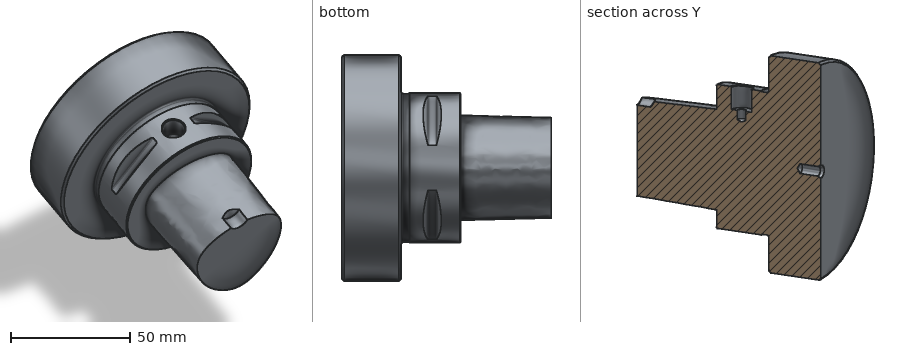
import cadquery as cq
import math


disc_diameter = 95.0
disc_length = 25.0
disc_chamfer = 1.0

neck_diameter = 62.4
neck_end = 28.05
neck_fillet = 0.9
runout_radius = 0.5
runout_angle = 45.0

flange_diameter = 63.0
flange_end = 50.0
flange_chamfer = 0.5

shank_length = 38.0
shank_base_radius = 22.05
shank_taper = 1 / 20
lobe_height = 1.4
lobe_count = 3
lobe_direction = -90.0
points_per_lobe = 12

groove_position = 38.0
groove_floor_width = 3.5
groove_floor_distance = 27.9
groove_wall_angle = 30.0
groove_corner_radius = 0.6
cut_clearance = 1.0
groove_directions = (45.0, 135.0, 225.0, 315.0)

radial_bore_diameter = 9.5
radial_bore_depth = 10.0
radial_bore_chamfer = 0.35
radial_pilot_diameter = 4.0
radial_pilot_depth = 4.0
radial_pilot_tip_angle = 135.0

centre_hole_diameter = 4.0
centre_hole_depth = 10.0
centre_hole_tip_angle = 120.0
centre_sink_diameter = 5.6
centre_sink_angle = 60.0

notch_diameter = 10.0
notch_length = 6.4
notch_axis_height = 22.3
notch_tip_angle = 110.0


def drill(diameter, depth, tip_angle):
    """Drill-shaped cutter with a conical tip: mouth at the origin, running along +Z."""
    radius = diameter / 2
    tip_length = radius / math.tan(math.radians(tip_angle / 2))
    tip = cq.Solid.makeCone(radius, 0, tip_length, pnt=cq.Vector(0, 0, depth))
    if depth == 0:
        return cq.Workplane(tip)
    return cq.Workplane("XY").circle(radius).extrude(depth).union(cq.Workplane(tip))


def arc_rise(angle):
    """Length along X and rise of the runout arc after turning through angle (radians)."""
    return runout_radius * math.sin(angle), runout_radius * (1 - math.cos(angle))


def turned_body():
    """Disc, neck and flange revolved about X."""
    disc_radius = disc_diameter / 2
    neck_radius = neck_diameter / 2
    flange_radius = flange_diameter / 2
    runout = math.radians(runout_angle)
    runout_x, runout_rise = arc_rise(runout)
    half_runout_x, half_runout_rise = arc_rise(runout / 2)
    slope_length = (flange_radius - neck_radius - runout_rise) / math.tan(runout)
    fillet_sag = neck_fillet * (1 - math.cos(math.pi / 4))
    return (
        cq.Workplane("XY")
        .lineTo(0, disc_radius - disc_chamfer)
        .lineTo(disc_chamfer, disc_radius)
        .lineTo(disc_length - disc_chamfer, disc_radius)
        .lineTo(disc_length, disc_radius - disc_chamfer)
        .lineTo(disc_length, neck_radius + neck_fillet)
        .threePointArc(
            (disc_length + fillet_sag, neck_radius + fillet_sag),
            (disc_length + neck_fillet, neck_radius),
        )
        .lineTo(neck_end, neck_radius)
        .threePointArc(
            (neck_end + half_runout_x, neck_radius + half_runout_rise),
            (neck_end + runout_x, neck_radius + runout_rise),
        )
        .lineTo(neck_end + runout_x + slope_length, flange_radius)
        .lineTo(flange_end - flange_chamfer, flange_radius)
        .lineTo(flange_end, flange_radius - flange_chamfer)
        .lineTo(flange_end, 0)
        .close()
        .revolve(360, (0, 0, 0), (1, 0, 0))
    )


def polygon_point(angle, mean_radius):
    """Point (y, z) of the lobed section whose outward normal points along angle (radians)."""
    phase = lobe_count * (angle - math.radians(lobe_direction))
    reach = mean_radius + lobe_height * math.cos(phase)
    reach_slope = -lobe_count * lobe_height * math.sin(phase)
    y = reach * math.cos(angle) - reach_slope * math.sin(angle)
    z = reach * math.sin(angle) + reach_slope * math.cos(angle)
    return y, z


def polygon_points(mean_radius):
    """Points around the lobed section, for a closed spline."""
    count = lobe_count * points_per_lobe
    return [polygon_point(math.tau * i / count, mean_radius) for i in range(count)]


def shank():
    """Lobed section tapering from the flange to the free end."""
    end_radius = shank_base_radius - shank_length * shank_taper / 2
    return (
        cq.Workplane("YZ", origin=(flange_end, 0, 0))
        .spline(polygon_points(shank_base_radius), periodic=True)
        .close()
        .workplane(offset=shank_length)
        .spline(polygon_points(end_radius), periodic=True)
        .close()
        .loft(ruled=True, combine=True)
    )


def gripper_groove(direction):
    """Straight trapezoidal cutter, turned about X to the given direction from +Y."""
    cut_top = flange_diameter / 2 + cut_clearance
    half_floor = groove_floor_width / 2
    half_top = half_floor + (cut_top - groove_floor_distance) * math.tan(math.radians(groove_wall_angle))
    return (
        cq.Workplane("XY")
        .moveTo(groove_position - half_floor, groove_floor_distance)
        .lineTo(groove_position + half_floor, groove_floor_distance)
        .lineTo(groove_position + half_top, cut_top)
        .lineTo(groove_position - half_top, cut_top)
        .close()
        .extrude(flange_diameter / 2, both=True)
        .edges("|Z and <Y")
        .fillet(groove_corner_radius)
        .rotate((0, 0, 0), (1, 0, 0), direction)
    )


def radial_hole():
    """Flat-bottomed bore with a smaller pilot hole in its floor, pointing to -Z."""
    bore_radius = radial_bore_diameter / 2
    flange_radius = flange_diameter / 2
    floor_height = flange_radius - radial_bore_depth
    bore = cq.Workplane("XY", origin=(groove_position, 0, floor_height)).circle(bore_radius)
    bore = bore.extrude(radial_bore_depth)
    pilot = drill(radial_pilot_diameter, radial_pilot_depth, radial_pilot_tip_angle)
    pilot = pilot.rotate((0, 0, 0), (1, 0, 0), 180)
    return bore.union(pilot.translate((groove_position, 0, floor_height)))


def chamfer_radial_hole(body):
    """Chamfer the rim where the radial bore breaks through the round flange."""
    bore_radius = radial_bore_diameter / 2
    flange_radius = flange_diameter / 2
    lowest_rim = math.sqrt(flange_radius**2 - bore_radius**2)
    rim_box = cq.selectors.BoxSelector(
        (groove_position - bore_radius, -bore_radius, lowest_rim),
        (groove_position + bore_radius, bore_radius, flange_radius),
    )
    return body.edges(rim_box).chamfer(radial_bore_chamfer)


def centre_hole():
    """Blind hole with a countersunk mouth in the front face."""
    hole = drill(centre_hole_diameter, centre_hole_depth, centre_hole_tip_angle)
    countersink = drill(centre_sink_diameter, 0, centre_sink_angle)
    return hole.union(countersink).rotate((0, 0, 0), (0, 1, 0), 90)


def shank_notch():
    """Drill-shaped notch entering the shank end along -X."""
    cutter = drill(notch_diameter, notch_length, notch_tip_angle).rotate((0, 0, 0), (0, 1, 0), -90)
    return cutter.translate((flange_end + shank_length, 0, notch_axis_height))


result = turned_body().union(shank())
for groove_direction in groove_directions:
    result = result.cut(gripper_groove(groove_direction))
result = chamfer_radial_hole(result.cut(radial_hole()))
result = result.cut(centre_hole())
result = result.cut(shank_notch())